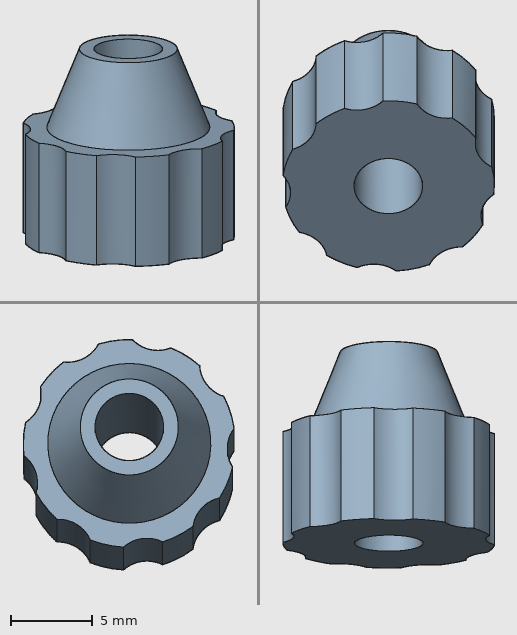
import cadquery as cq
import math

grip_diameter = 13.0
grip_height = 7.0
flute_count = 9
flute_width = 2.42
flute_depth = 0.38

total_height = 12.0
nose_base_diameter = 10.0
nose_tip_diameter = 6.0

bore_diameter = 4.2

grip_radius = grip_diameter / 2
nose_height = total_height - grip_height


def make_grip():
    """Cylinder with evenly spaced round flutes, the first one facing +X."""
    half_width = flute_width / 2
    flute_radius = (half_width**2 + flute_depth**2) / (2 * flute_depth)
    edge_distance = math.sqrt(grip_radius**2 - half_width**2)
    flute_center_distance = edge_distance - flute_depth + flute_radius
    cutters = (
        cq.Workplane("XY")
        .polarArray(flute_center_distance, 0, 360, flute_count)
        .circle(flute_radius)
        .extrude(grip_height)
    )
    return cq.Workplane("XY").circle(grip_radius).extrude(grip_height).cut(cutters)


def make_nose():
    """Truncated cone standing on the top face of the grip."""
    nose = cq.Solid.makeCone(
        nose_base_diameter / 2,
        nose_tip_diameter / 2,
        nose_height,
        pnt=cq.Vector(0, 0, grip_height),
    )
    return cq.Workplane("XY").add(nose)


def make_bore():
    return cq.Workplane("XY").circle(bore_diameter / 2).extrude(total_height)


result = make_grip().union(make_nose()).cut(make_bore())